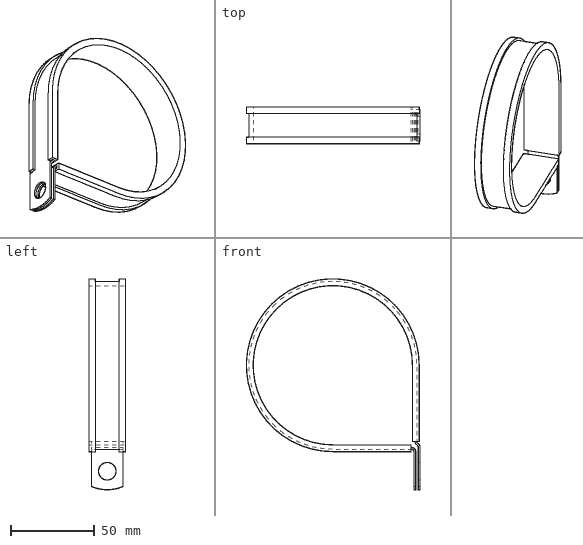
import cadquery as cq
import math

overall_height = 126.49
overall_length = 104.16
inner_radius = 47.63
lining_thickness = 1.5
strap_thickness = 1.2
lip_thickness = 1.5
channel_width = 22.1
groove_width = 14.15
upright_end_z = -45.7
foot_end_x = 46.9

strap_width = 19.0
ear_gap = 1.4
ear_end_sag = 2.0
ear_bend_inner_radius = 1.5
joggle_inner_radius = 0.8
hole_diameter = 10.4
hole_z = -63.5
joggle_angle = 45.0

strap_inner_radius = inner_radius + lining_thickness
strap_mid_radius = strap_inner_radius + strap_thickness / 2
strap_outer_radius = strap_inner_radius + strap_thickness
outer_radius = strap_outer_radius + lip_thickness
ear_bend_radius = ear_bend_inner_radius + strap_thickness / 2
joggle_bend_radius = joggle_inner_radius + strap_thickness / 2

ear_bottom_z = outer_radius - overall_height
outer_ear_right_x = overall_length - outer_radius
outer_ear_x = outer_ear_right_x - strap_thickness / 2
inner_ear_x = outer_ear_x - strap_thickness - ear_gap


def loop_layer(inner, outer, width):
    """Layer of the loop: an upright leg, three quarters of a turn, and a flat foot, centred on Y = 0."""
    diagonal = math.sqrt(0.5)
    profile = (
        cq.Workplane("XZ")
        .moveTo(outer, upright_end_z)
        .lineTo(outer, 0)
        .threePointArc((-outer * diagonal, outer * diagonal), (0, -outer))
        .lineTo(foot_end_x, -outer)
        .lineTo(foot_end_x, -inner)
        .lineTo(0, -inner)
        .threePointArc((-inner * diagonal, inner * diagonal), (inner, 0))
        .lineTo(inner, upright_end_z)
        .close()
    )
    return profile.extrude(width / 2, both=True)


def make_channel():
    """Cushion channel, with the groove between its two lips open to the outside."""
    body = loop_layer(inner_radius, outer_radius, channel_width)
    groove = loop_layer(strap_outer_radius, outer_radius, groove_width)
    return body.cut(groove)


def make_inner_ear():
    """Strap leaving the foot horizontally and bending down a quarter turn."""
    bend_start_x = inner_ear_x - ear_bend_radius
    bend_end_z = -strap_mid_radius - ear_bend_radius
    path = (
        cq.Workplane("XZ")
        .moveTo(foot_end_x, -strap_mid_radius)
        .lineTo(bend_start_x, -strap_mid_radius)
        .tangentArcPoint((inner_ear_x, bend_end_z), relative=False)
        .lineTo(inner_ear_x, ear_bottom_z)
    )
    section = cq.Workplane("YZ", origin=(foot_end_x, 0, -strap_mid_radius))
    return section.rect(strap_width, strap_thickness).sweep(path)


def make_outer_ear():
    """Strap leaving the upright leg and stepping outwards before it hangs straight down."""
    angle = math.radians(joggle_angle)
    bend_run = joggle_bend_radius * (1 - math.cos(angle))
    bend_drop = joggle_bend_radius * math.sin(angle)
    slope_run = outer_ear_x - strap_mid_radius - 2 * bend_run
    slope_drop = slope_run / math.tan(angle)
    slope_start_z = upright_end_z - bend_drop
    slope_end_z = slope_start_z - slope_drop
    path = (
        cq.Workplane("XZ")
        .moveTo(strap_mid_radius, upright_end_z)
        .radiusArc((strap_mid_radius + bend_run, slope_start_z), -joggle_bend_radius)
        .lineTo(outer_ear_x - bend_run, slope_end_z)
        .radiusArc((outer_ear_x, slope_end_z - bend_drop), joggle_bend_radius)
        .lineTo(outer_ear_x, ear_bottom_z)
    )
    section = cq.Workplane("XY", origin=(strap_mid_radius, 0, upright_end_z))
    return section.rect(strap_thickness, strap_width).sweep(path)


def make_ear_outline():
    """Prism along X with the rounded ear end and the screw hole through both ears."""
    half_width = strap_width / 2
    shoulder_z = ear_bottom_z + ear_end_sag
    depth = outer_ear_right_x - foot_end_x
    foot_end_plane = cq.Workplane("YZ", origin=(foot_end_x, 0, 0))
    outline = (
        foot_end_plane
        .moveTo(-half_width, upright_end_z)
        .lineTo(-half_width, shoulder_z)
        .threePointArc((0, ear_bottom_z), (half_width, shoulder_z))
        .lineTo(half_width, upright_end_z)
        .close()
        .extrude(depth)
    )
    hole = foot_end_plane.center(0, hole_z).circle(hole_diameter / 2).extrude(depth)
    return outline.cut(hole)


ear_outline = make_ear_outline()
result = make_channel()
for ear in (make_inner_ear(), make_outer_ear()):
    result = result.union(ear.intersect(ear_outline))